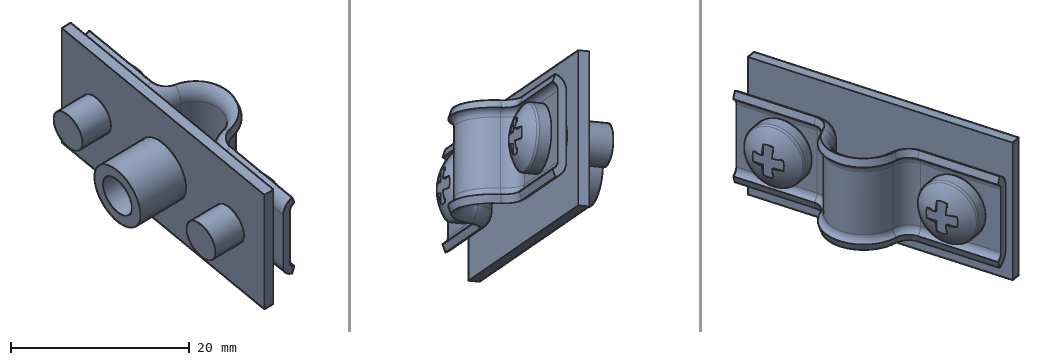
import cadquery as cq
import math

length = 35.0
screw_offset = 11.48
shank_radius = 2.502

plate_height = 18.0
plate_thickness = 1.33
tube_length = 6.72
tube_radius = 4.0
bore_radius = 2.502

strap_gap = 1.45
strap_thickness = 1.0
strap_half_height = 6.0
curl_radius = 2.0
curl_angle = math.radians(70)
hump_radius = 3.5
foot_bend_radius = 3.5
overall_depth = 16.7

strap_back = plate_thickness + strap_gap
web_face = strap_back + strap_thickness
curl_inner_radius = curl_radius - strap_thickness
curl_center_y = strap_back + curl_radius
curl_center_z = strap_half_height - curl_radius * math.sin(curl_angle)
rim_y = curl_center_y - curl_inner_radius * math.cos(curl_angle)
hump_center_y = overall_depth - tube_length - hump_radius - (rim_y - strap_back)

shank_tip = -4.2
head_radius = 4.0
head_side_height = 1.65
dome_height = 1.58
head_edge_fillet = 0.4
slot_width = 1.35
slot_depth = 0.4


def cylinder(radius, x, y_start, y_end):
    """Cylinder along Y, centred on the given X and on Z = 0."""
    axis_start = cq.Vector(x, y_start, 0)
    return cq.Workplane(cq.Solid.makeCylinder(radius, y_end - y_start, axis_start, cq.Vector(0, 1, 0)))


def cut_screw_holes(body):
    for x in (-screw_offset, screw_offset):
        body = body.cut(cylinder(shank_radius, x, 0, web_face))
    return body


def make_plate():
    plate = cq.Workplane().box(length, plate_thickness, plate_height)
    plate = plate.translate((0, plate_thickness / 2, 0))
    plate = plate.union(cylinder(tube_radius, 0, -tube_length, 0))
    plate = plate.cut(cylinder(bore_radius, 0, -tube_length, 0))
    return cut_screw_holes(plate)


def curl_point(radius, angle, side):
    """Point (y, z) on a curled edge; angle 0 is where the curl leaves the flat web."""
    y = curl_center_y - radius * math.cos(angle)
    z = curl_center_z + radius * math.sin(angle)
    return (y, side * z)


def make_strap_section():
    mid_angle = curl_angle / 2
    return (
        cq.Workplane("YZ", origin=(-length / 2, 0, 0))
        .moveTo(*curl_point(curl_radius, 0, -1))
        .lineTo(*curl_point(curl_radius, 0, 1))
        .threePointArc(curl_point(curl_radius, mid_angle, 1), curl_point(curl_radius, curl_angle, 1))
        .lineTo(*curl_point(curl_inner_radius, curl_angle, 1))
        .threePointArc(curl_point(curl_inner_radius, mid_angle, 1), curl_point(curl_inner_radius, 0, 1))
        .lineTo(*curl_point(curl_inner_radius, 0, -1))
        .threePointArc(curl_point(curl_inner_radius, mid_angle, -1),
                       curl_point(curl_inner_radius, curl_angle, -1))
        .lineTo(*curl_point(curl_radius, curl_angle, -1))
        .threePointArc(curl_point(curl_radius, mid_angle, -1), curl_point(curl_radius, 0, -1))
        .close()
    )


def make_strap_path():
    """Back line of the strap: straight foot, bend, hump, bend, straight foot."""
    foot_center_y = strap_back + foot_bend_radius
    center_distance = hump_radius + foot_bend_radius
    join_angle = math.asin((foot_center_y - hump_center_y) / center_distance)
    foot_center_x = center_distance * math.cos(join_angle)
    join_x = hump_radius * math.cos(join_angle)
    join_y = hump_center_y + hump_radius * math.sin(join_angle)
    mid_angle = (math.pi / 2 + join_angle) / 2
    mid_x = foot_center_x - foot_bend_radius * math.sin(mid_angle)
    mid_y = foot_center_y - foot_bend_radius * math.cos(mid_angle)
    return (
        cq.Workplane("XY")
        .moveTo(-length / 2, strap_back)
        .lineTo(-foot_center_x, strap_back)
        .threePointArc((-mid_x, mid_y), (-join_x, join_y))
        .threePointArc((0, hump_center_y + hump_radius), (join_x, join_y))
        .threePointArc((mid_x, mid_y), (foot_center_x, strap_back))
        .lineTo(length / 2, strap_back)
    )


def make_strap():
    return cut_screw_holes(make_strap_section().sweep(make_strap_path()))


def make_screw(x):
    dome_base = web_face + head_side_height
    head_top = dome_base + dome_height
    dome_radius = (head_radius ** 2 + dome_height ** 2) / (2 * dome_height)
    dome = cq.Workplane("XY").sphere(dome_radius).translate((x, head_top - dome_radius, 0))
    head = cylinder(head_radius, x, web_face, head_top).intersect(dome)
    rim = cq.selectors.BoxSelector(
        (x - head_radius, dome_base - head_edge_fillet, -head_radius),
        (x + head_radius, dome_base + head_edge_fillet, head_radius),
        boundingbox=False,
    )
    head = head.edges("%CIRCLE").edges(rim).fillet(head_edge_fillet)

    slot_y = head_top - slot_depth / 2
    slot = cq.Workplane().box(2 * head_radius, slot_depth, slot_width)
    cross = slot.union(slot.rotate((0, 0, 0), (0, 1, 0), 90)).translate((x, slot_y, 0))
    shank = cylinder(shank_radius, x, shank_tip, web_face)
    return head.cut(cross).union(shank)


plate = make_plate()
strap = make_strap()
screws = [make_screw(x) for x in (-screw_offset, screw_offset)]

bodies = [plate, strap, *screws]

result = cq.Compound.makeCompound([body.solids().val() for body in bodies])